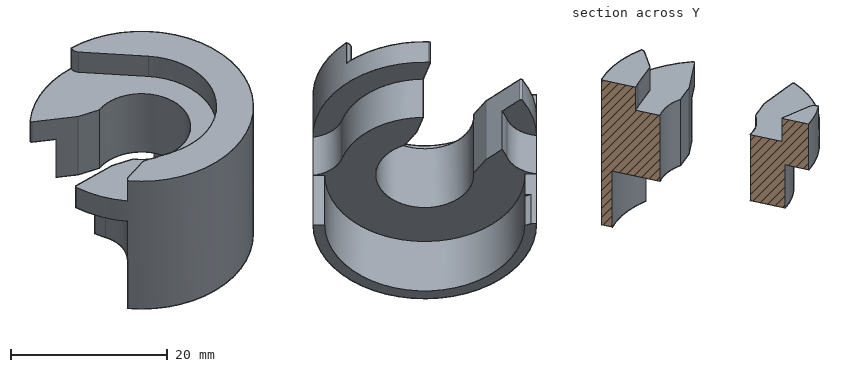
import cadquery as cq
import math

skirt_height = 8.45
flange_bottom = 15.0
flange_top = 18.5
total_height = 22.0
notch_height = 5.0

outer_radius = 14.28
bore_radius = 6.25
hub_radius = 11.03
skirt_inner_radius = 12.77
recess_radius = 9.57

skirt_tilt = -32.0
hub_blend_radius = 4.7

throat_half_width = 5.15
throat_end_y = -6.55
flare_angle = 15.0
mouth_tip_radius = 0.23

left_wall_angle = 60.0
right_wall_angle = 57.0
right_wall_bend_y = -4.2
left_tip_y = -3.49
right_tip_y = -7.65
rim_tip_radius = 1.09

reach = 2 * outer_radius


def polar(radius, angle):
    return (radius * math.cos(math.radians(angle)), radius * math.sin(math.radians(angle)))


def disc(radius, bottom, top):
    return cq.Workplane("XY").workplane(offset=bottom).circle(radius).extrude(top - bottom)


def half_disc(radius, bottom, top):
    """Half disc behind the tilted diameter."""
    return (
        cq.Workplane("XY").workplane(offset=bottom)
        .moveTo(radius, 0)
        .threePointArc((0, radius), (-radius, 0))
        .close()
        .extrude(top - bottom)
        .rotate((0, 0, 0), (0, 0, 1), skirt_tilt)
    )


def hub_blend(side):
    """Web with a concave arc, tangent to the hub and to the skirt end plane; side is +1 or -1."""
    centre_distance = hub_radius + hub_blend_radius
    centre_x = math.sqrt(centre_distance**2 - hub_blend_radius**2)
    hub_touch = (
        centre_x * hub_radius / centre_distance,
        -hub_blend_radius * hub_radius / centre_distance,
    )
    height = flange_bottom - skirt_height
    web = (
        cq.Workplane("XY").workplane(offset=skirt_height)
        .polyline([(0, 0), (side * centre_x, 0), (side * centre_x, hub_touch[1]),
                   (side * hub_touch[0], hub_touch[1])])
        .close()
        .extrude(height)
    )
    scoop = (
        cq.Workplane("XY").workplane(offset=skirt_height)
        .center(side * centre_x, -hub_blend_radius)
        .circle(hub_blend_radius)
        .extrude(height)
    )
    blend = web.cut(scoop).rotate((0, 0, 0), (0, 0, 1), skirt_tilt)
    return blend.intersect(disc(outer_radius, skirt_height, flange_bottom))


def mouth():
    """Bore and flared opening, through the full height."""
    flare_length = reach + throat_end_y
    flare_half_width = throat_half_width + flare_length * math.tan(math.radians(flare_angle))
    opening = (
        cq.Workplane("XY")
        .polyline([
            (-throat_half_width, 0),
            (-throat_half_width, throat_end_y),
            (-flare_half_width, -reach),
            (flare_half_width, -reach),
            (throat_half_width, throat_end_y),
            (throat_half_width, 0),
        ])
        .close()
        .extrude(total_height)
    )
    return opening.union(disc(bore_radius, 0, total_height))


def wall_tip(start, side, wall_angle, tip_y):
    """Points of the arc that turns a slanted wall level at tip_y: its start, middle and end."""
    slope = math.radians(wall_angle)
    turn_start_y = tip_y + rim_tip_radius * (1 - math.cos(slope))
    turn_start_x = start[0] + side * (start[1] - turn_start_y) / math.tan(slope)
    level_x = turn_start_x + side * rim_tip_radius * math.sin(slope)
    middle = (
        level_x - side * rim_tip_radius * math.sin(slope / 2),
        tip_y + rim_tip_radius * (1 - math.cos(slope / 2)),
    )
    return (turn_start_x, turn_start_y), middle, (level_x, tip_y)


def recess(bottom, top):
    """Region in front of the rim: an arc, a straight right side and two slanted walls."""
    tangent = polar(recess_radius, 90 + left_wall_angle)
    bend = (recess_radius, right_wall_bend_y)
    left_start, left_middle, left_end = wall_tip(tangent, -1, left_wall_angle, left_tip_y)
    right_start, right_middle, right_end = wall_tip(bend, 1, right_wall_angle, right_tip_y)
    return (
        cq.Workplane("XY").workplane(offset=bottom)
        .moveTo(-reach, left_tip_y)
        .lineTo(*left_end)
        .threePointArc(left_middle, left_start)
        .lineTo(*tangent)
        .threePointArc((0, recess_radius), (recess_radius, 0))
        .lineTo(*bend)
        .lineTo(*right_start)
        .threePointArc(right_middle, right_end)
        .lineTo(reach, right_tip_y)
        .lineTo(reach, -reach)
        .lineTo(-reach, -reach)
        .close()
        .extrude(top - bottom)
    )


def rim():
    """Raised rim around the recess."""
    return disc(outer_radius, flange_top, total_height).cut(recess(flange_top, total_height))


def flange():
    plate = disc(outer_radius, flange_bottom, flange_top).cut(mouth())
    return plate.edges("|Z").edges("<Y").fillet(mouth_tip_radius)


def skirt():
    """Half ring; low down, the recess profile notches the inside of its right end."""
    ring = half_disc(outer_radius, 0, skirt_height).cut(disc(skirt_inner_radius, 0, skirt_height))
    return ring.cut(recess(0, notch_height))


hub = (
    disc(hub_radius, skirt_height, flange_bottom)
    .union(half_disc(outer_radius, skirt_height, flange_bottom))
    .union(hub_blend(1))
    .union(hub_blend(-1))
    .cut(mouth())
)

result = skirt().union(hub).union(flange()).union(rim())